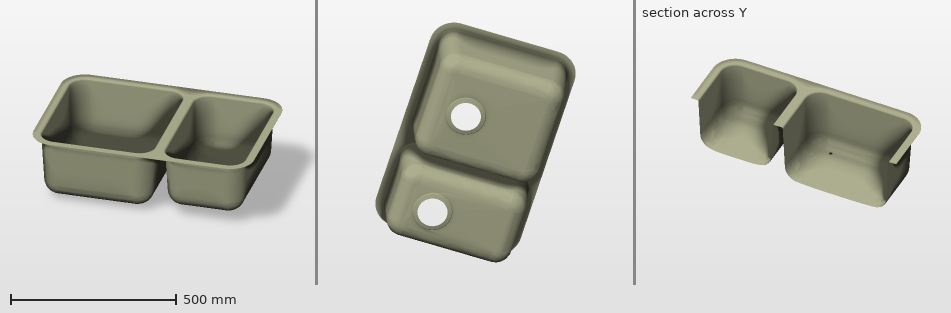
import cadquery as cq
import math

SHEET = 1.0

FLANGE_LENGTH = 692.0
FLANGE_WIDTH = 457.0
FLANGE_CORNER_RADIUS = 75.0

RIM_MARGIN = 26.5
BRIDGE_WIDTH = 34.0
LARGE_BOWL_LENGTH = 355.0
BOWL_WIDTH = FLANGE_WIDTH - 2 * RIM_MARGIN
SMALL_BOWL_LENGTH = FLANGE_LENGTH - 2 * RIM_MARGIN - BRIDGE_WIDTH - LARGE_BOWL_LENGTH
LARGE_BOWL_DEPTH = 200.0
SMALL_BOWL_DEPTH = 180.0
WALL_DRAFT = math.radians(2.75)
WALL_CORNER_RADIUS = 49.0
FLOOR_FILLET = 45.0
RIM_FILLET = 6.0

FLOOR_FALL = 3.0
LIP_DIAMETER = 119.0
STEP_DIAMETER = 115.0
STEP_DEPTH = 2.5
DISH_DEPTH = 3.5
RECESS_DEPTH = STEP_DEPTH + DISH_DEPTH
DRAIN_DIAMETER = 91.0
DRAIN_Y = 75.0

LARGE_BOWL_X = -FLANGE_LENGTH / 2 + RIM_MARGIN + LARGE_BOWL_LENGTH / 2
SMALL_BOWL_X = FLANGE_LENGTH / 2 - RIM_MARGIN - SMALL_BOWL_LENGTH / 2


def rounded_rectangle(length, width, radius, z):
    """Closed wire of a rounded rectangle lying at height z."""
    rectangle = cq.Workplane("XY", origin=(0, 0, z)).rect(length, width).val()
    return rectangle.fillet2D(radius, rectangle.Vertices())


def tapered_bowl(length, depth, offset):
    """Drafted bowl volume with a rounded bottom edge, grown outwards by offset."""
    floor_depth = depth + offset
    inset = 2 * floor_depth * math.tan(WALL_DRAFT)
    growth = 2 * offset / math.cos(WALL_DRAFT)
    top_length = length + growth
    top_width = BOWL_WIDTH + growth
    radius = WALL_CORNER_RADIUS + offset
    top = rounded_rectangle(top_length, top_width, radius, 0)
    bottom = rounded_rectangle(top_length - inset, top_width - inset, radius, -floor_depth)
    body = cq.Workplane(cq.Solid.makeLoft([top, bottom], True))
    return body.faces("<Z").edges().fillet(FLOOR_FILLET + offset)


def drain_recess(depth, offset):
    """Stepped and dished recess around the drain, reaching up to the bowl floor."""
    lip_z = -(depth + FLOOR_FALL + offset)
    profile = (
        cq.Workplane("XZ")
        .moveTo(0, lip_z)
        .lineTo(LIP_DIAMETER / 2 + offset, lip_z)
        .lineTo(STEP_DIAMETER / 2 + offset, lip_z - STEP_DEPTH)
        .lineTo(DRAIN_DIAMETER / 2, lip_z - RECESS_DEPTH)
        .lineTo(0, lip_z - RECESS_DEPTH)
        .close()
    )
    return profile.revolve(360, (0, 0, 0), (0, 1, 0)).translate((0, DRAIN_Y, 0))


def bowl_volume(length, depth, offset):
    """Bowl, sloping floor and drain recess as one volume, grown outwards by offset."""
    bowl = tapered_bowl(length, depth, offset)
    floor_edge = bowl.faces("<Z").val().outerWire()
    floor_low = -(depth + FLOOR_FALL + offset)
    drain_edge = cq.Wire.makeCircle(
        LIP_DIAMETER / 2 + offset, cq.Vector(0, DRAIN_Y, floor_low), cq.Vector(0, 0, 1)
    )
    sloping_floor = cq.Workplane(cq.Solid.makeLoft([floor_edge, drain_edge], True))
    return bowl.union(sloping_floor).union(drain_recess(depth, offset))


def drain_hole(depth):
    """Cutter for the drain opening through the recess bottom."""
    return (
        cq.Workplane("XY", origin=(0, DRAIN_Y, -depth))
        .circle(DRAIN_DIAMETER / 2)
        .extrude(-(FLOOR_FALL + RECESS_DEPTH + 2 * SHEET))
    )


def flange():
    """Flat plate with rounded corners that carries both bowls."""
    plate = cq.Workplane("XY").rect(FLANGE_LENGTH, FLANGE_WIDTH).extrude(-SHEET)
    return plate.edges("|Z").fillet(FLANGE_CORNER_RADIUS)


def rim_edges(z):
    """Selector for the bowl rim edges lying at height z, inside the flange outline."""
    tolerance = 0.01
    reach_x = FLANGE_LENGTH / 2 - RIM_MARGIN / 2
    reach_y = FLANGE_WIDTH / 2 - RIM_MARGIN / 2
    return cq.selectors.BoxSelector(
        (-reach_x, -reach_y, z - tolerance),
        (reach_x, reach_y, z + tolerance),
        boundingbox=True,
    )


bowls = (
    (LARGE_BOWL_X, LARGE_BOWL_LENGTH, LARGE_BOWL_DEPTH),
    (SMALL_BOWL_X, SMALL_BOWL_LENGTH, SMALL_BOWL_DEPTH),
)

sink = flange()
for bowl_x, bowl_length, bowl_depth in bowls:
    sink = sink.union(bowl_volume(bowl_length, bowl_depth, SHEET).translate((bowl_x, 0, 0)))
sink = sink.edges(rim_edges(-SHEET)).fillet(RIM_FILLET - SHEET)
for bowl_x, bowl_length, bowl_depth in bowls:
    sink = sink.cut(bowl_volume(bowl_length, bowl_depth, 0).translate((bowl_x, 0, 0)))
    sink = sink.cut(drain_hole(bowl_depth).translate((bowl_x, 0, 0)))
result = sink.edges(rim_edges(0)).fillet(RIM_FILLET)